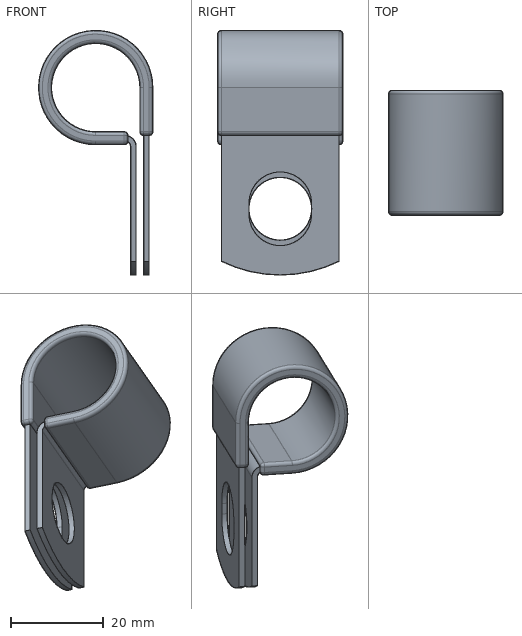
import cadquery as cq
import math


bore_radius = 9.525
cushion_thickness = 0.79375
strap_thickness = 1.2192
strap_width = 25.4
leg_gap = 2 * cushion_thickness
cushion_foot_end_x = 6.93
strap_bottom_z = -40.46
strap_end_radius = 28.575
hole_diameter = 13.49375
slot_length = 15.875
hole_center_z = -26.15

loop_middle_angle = 135
bend_middle_angle = 45

strap_bend_inner_radius = strap_thickness
strap_inner_radius = bore_radius + cushion_thickness
strap_outer_radius = strap_inner_radius + strap_thickness
cushion_outer_radius = strap_outer_radius + cushion_thickness
cushion_width = strap_width + 2 * cushion_thickness
cushion_leg_end_z = -(bore_radius + cushion_thickness)
near_leg_outer_x = strap_inner_radius - leg_gap
near_leg_inner_x = near_leg_outer_x - strap_thickness
strap_bend_outer_radius = strap_bend_inner_radius + strap_thickness
bend_center_x = near_leg_inner_x - strap_bend_inner_radius
bend_center_z = -strap_outer_radius - strap_bend_inner_radius
strap_end_sagitta = strap_end_radius - math.sqrt(strap_end_radius**2 - (strap_width / 2) ** 2)
strap_corner_z = strap_bottom_z + strap_end_sagitta


def point_at(radius, angle_degrees, center_x=0, center_z=0):
    """XZ point on a circle, with the angle measured from +X toward +Z."""
    angle = math.radians(angle_degrees)
    return (center_x + radius * math.cos(angle), center_z + radius * math.sin(angle))


def extrude_centered(profile, width):
    """Extrude an XZ profile along Y, symmetric about Y = 0."""
    return profile.extrude(width / 2, both=True)


def end_selector(x_min, x_max, z_min, z_max):
    """Selector for edges whose centers lie on the cushion end face spanning this XZ range."""
    margin = cushion_thickness / 2
    return cq.selectors.BoxSelector(
        (x_min - margin, -cushion_width, z_min - margin),
        (x_max + margin, cushion_width, z_max + margin),
    )


def make_cushion():
    """Three-quarter loop with a straight leg and a straight foot, rounded on every outer edge."""
    profile = (
        cq.Workplane("XZ")
        .moveTo(cushion_outer_radius, cushion_leg_end_z)
        .lineTo(cushion_outer_radius, 0)
        .threePointArc(point_at(cushion_outer_radius, loop_middle_angle), (0, -cushion_outer_radius))
        .lineTo(cushion_foot_end_x, -cushion_outer_radius)
        .lineTo(cushion_foot_end_x, -bore_radius)
        .lineTo(0, -bore_radius)
        .threePointArc(point_at(bore_radius, loop_middle_angle), (bore_radius, 0))
        .lineTo(bore_radius, cushion_leg_end_z)
        .close()
    )
    body = extrude_centered(profile, cushion_width)
    leg_end_edges = body.edges(
        end_selector(bore_radius, cushion_outer_radius, cushion_leg_end_z, cushion_leg_end_z)
    )
    foot_end_edges = body.edges(
        end_selector(cushion_foot_end_x, cushion_foot_end_x, -cushion_outer_radius, -bore_radius)
    )
    side_edges = body.faces("<Y or >Y").edges()
    return side_edges.add(leg_end_edges).add(foot_end_edges).fillet(cushion_thickness)


def make_strap():
    """Strap loop inside the cushion, bent into two parallel mounting legs."""
    profile = (
        cq.Workplane("XZ")
        .moveTo(strap_outer_radius, strap_bottom_z)
        .lineTo(strap_outer_radius, 0)
        .threePointArc(point_at(strap_outer_radius, loop_middle_angle), (0, -strap_outer_radius))
        .lineTo(bend_center_x, -strap_outer_radius)
        .threePointArc(
            point_at(strap_bend_inner_radius, bend_middle_angle, bend_center_x, bend_center_z),
            (near_leg_inner_x, bend_center_z),
        )
        .lineTo(near_leg_inner_x, strap_bottom_z)
        .lineTo(near_leg_outer_x, strap_bottom_z)
        .lineTo(near_leg_outer_x, bend_center_z)
        .threePointArc(
            point_at(strap_bend_outer_radius, bend_middle_angle, bend_center_x, bend_center_z),
            (bend_center_x, -strap_inner_radius),
        )
        .lineTo(0, -strap_inner_radius)
        .threePointArc(point_at(strap_inner_radius, loop_middle_angle), (strap_inner_radius, 0))
        .lineTo(strap_inner_radius, strap_bottom_z)
        .close()
    )
    return extrude_centered(profile, strap_width)


def make_leg_outline():
    """Strap outline in the YZ plane: square on top, arc-shaped at the bottom of the legs."""
    return (
        cq.Workplane("YZ")
        .moveTo(-strap_width / 2, cushion_outer_radius)
        .lineTo(-strap_width / 2, strap_corner_z)
        .threePointArc((0, strap_bottom_z), (strap_width / 2, strap_corner_z))
        .lineTo(strap_width / 2, cushion_outer_radius)
        .close()
        .extrude(cushion_outer_radius, both=True)
    )


def make_bolt_hole():
    """Round bolt hole along X through the near leg."""
    return (
        cq.Workplane("YZ", origin=(near_leg_inner_x, 0, hole_center_z))
        .circle(hole_diameter / 2)
        .extrude(strap_thickness)
    )


def make_bolt_slot():
    """Bolt slot along X through the far leg, elongated in Z."""
    return (
        cq.Workplane("YZ", origin=(strap_inner_radius, 0, hole_center_z))
        .slot2D(slot_length, hole_diameter, angle=90)
        .extrude(strap_thickness)
    )


strap = make_strap().intersect(make_leg_outline()).cut(make_bolt_hole()).cut(make_bolt_slot())
result = make_cushion().union(strap)